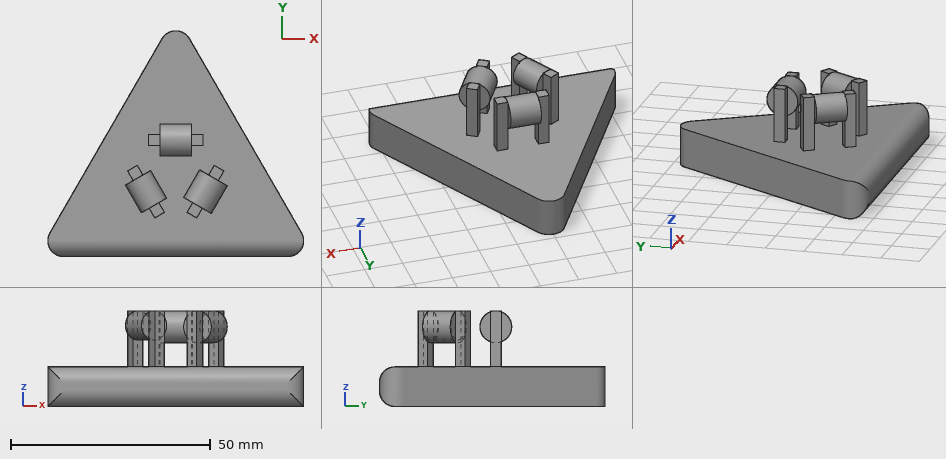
import cadquery as cq
import math

base_side = 70.0
base_thickness = 10.0
corner_radius = 4.0
front_edge_radius = 4.0

ring_radius = 8.6
ring_center_y = 0.4
roller_length = 8.0
post_width = 2.8
assembly_top = 24.0
full_roller_radius = 4.0
slim_roller_radius = 3.65

stations = [
    (90, full_roller_radius),
    (210, slim_roller_radius),
    (330, full_roller_radius),
]

apex_y = base_side / math.sqrt(3)
front_y = -apex_y / 2
front_half_width = base_side / 2


def make_base():
    """Rounded triangular plate with the front edges rounded top and bottom."""
    plate = (
        cq.Workplane("XY")
        .polyline([(-front_half_width, front_y), (front_half_width, front_y), (0, apex_y)])
        .close()
        .extrude(base_thickness)
        .edges("|Z")
        .fillet(corner_radius)
    )
    trim_bar = (
        cq.Workplane("XY")
        .box(base_side, apex_y - front_y, base_thickness, centered=(True, False, False))
        .translate((0, front_y, 0))
        .faces("<Y")
        .edges("|X")
        .fillet(front_edge_radius)
    )
    return plate.intersect(trim_bar)


def make_station(angle, roller_radius):
    """Roller lying along the ring tangent, flush with the tops of its two posts."""
    station = (
        cq.Workplane("YZ")
        .center(0, assembly_top - roller_radius)
        .circle(roller_radius)
        .extrude(roller_length / 2, both=True)
    )
    post_offset = (roller_length + post_width) / 2
    post_height = assembly_top - base_thickness
    posts = (
        cq.Workplane("XY")
        .workplane(offset=base_thickness)
        .pushPoints([(-post_offset, 0), (post_offset, 0)])
        .rect(post_width, post_width)
        .extrude(post_height)
    )
    return (
        station.union(posts)
        .translate((0, ring_radius, 0))
        .rotate((0, 0, 0), (0, 0, 1), angle - 90)
        .translate((0, ring_center_y, 0))
    )


result = make_base()
for station_angle, station_roller_radius in stations:
    result = result.union(make_station(station_angle, station_roller_radius))